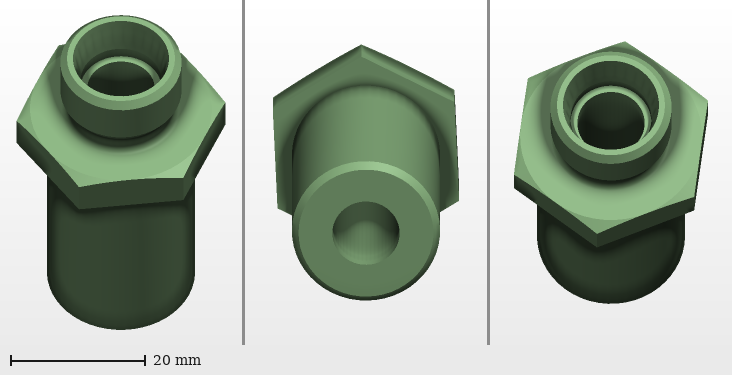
import cadquery as cq
import math

total_length = 52.0
hex_bottom = 34.0
hex_top = 40.0

stem_radius = 22.0 / 2
stem_chamfer = 1.0

hex_across_flats = 27.0
hex_chamfer_angle = math.radians(18)

spigot_radius = 18.0 / 2
spigot_chamfer = 1.0
spigot_length = 7.5
groove_radius = 15.7 / 2
groove_fillet = 1.0
groove_cone_angle = math.radians(30)

bore_radius = 10.0 / 2
socket_radius = 12.0 / 2
socket_depth = 7.0
seat_radius = 14.25 / 2
seat_half_angle = math.radians(12)


def make_stem():
    """Cylinder below the collar with a bevelled lower end."""
    stem = cq.Workplane("XY").circle(stem_radius).extrude(hex_bottom)
    return stem.faces("<Z").chamfer(stem_chamfer)


def make_collar():
    """Hexagon with flats facing +X and -X and conically trimmed upper corners."""
    flat_radius = hex_across_flats / 2
    corner_radius = flat_radius / math.cos(math.pi / 6)
    corner_drop = (corner_radius - flat_radius) * math.tan(hex_chamfer_angle)
    hexagon = (
        cq.Workplane("XY", origin=(0, 0, hex_bottom))
        .polygon(6, 2 * corner_radius)
        .extrude(hex_top - hex_bottom)
        .rotate((0, 0, 0), (0, 0, 1), 30)
    )
    outer_radius = 2 * corner_radius - flat_radius
    trim = (
        cq.Workplane("XZ")
        .moveTo(0, hex_bottom)
        .lineTo(outer_radius, hex_bottom)
        .lineTo(outer_radius, hex_top - 2 * corner_drop)
        .lineTo(flat_radius, hex_top)
        .lineTo(0, hex_top)
        .close()
        .revolve(360, (0, 0, 0), (0, 1, 0))
    )
    return hexagon.intersect(trim)


def make_spigot():
    """Spigot with a chamfered tip and a filleted relief groove above the collar."""
    spigot_bottom = total_length - spigot_length
    cone_bottom_radius = groove_radius + groove_fillet * (1 - math.cos(groove_cone_angle))
    cone_height = (spigot_radius - cone_bottom_radius) / math.tan(groove_cone_angle)
    cone_bottom = spigot_bottom - cone_height
    groove_top = cone_bottom - groove_fillet * math.sin(groove_cone_angle)

    half_angle = groove_cone_angle / 2
    upper_arc_middle = (
        groove_radius + groove_fillet * (1 - math.cos(half_angle)),
        groove_top + groove_fillet * math.sin(half_angle),
    )
    arc_inset = groove_fillet * (1 - math.sqrt(0.5))
    lower_arc_middle = (groove_radius + arc_inset, hex_top + arc_inset)

    return (
        cq.Workplane("XZ")
        .moveTo(0, hex_top)
        .lineTo(groove_radius + groove_fillet, hex_top)
        .threePointArc(lower_arc_middle, (groove_radius, hex_top + groove_fillet))
        .lineTo(groove_radius, groove_top)
        .threePointArc(upper_arc_middle, (cone_bottom_radius, cone_bottom))
        .lineTo(spigot_radius, spigot_bottom)
        .lineTo(spigot_radius, total_length - spigot_chamfer)
        .lineTo(spigot_radius - spigot_chamfer, total_length)
        .lineTo(0, total_length)
        .close()
        .revolve(360, (0, 0, 0), (0, 1, 0))
    )


def make_bore():
    """Through bore, stepped out to a socket that opens into a conical seat."""
    seat_depth = (seat_radius - socket_radius) / math.tan(seat_half_angle)
    return (
        cq.Workplane("XZ")
        .lineTo(bore_radius, 0)
        .lineTo(bore_radius, total_length - socket_depth)
        .lineTo(socket_radius, total_length - socket_depth)
        .lineTo(socket_radius, total_length - seat_depth)
        .lineTo(seat_radius, total_length)
        .lineTo(0, total_length)
        .close()
        .revolve(360, (0, 0, 0), (0, 1, 0))
    )


result = make_stem().union(make_collar()).union(make_spigot()).cut(make_bore())